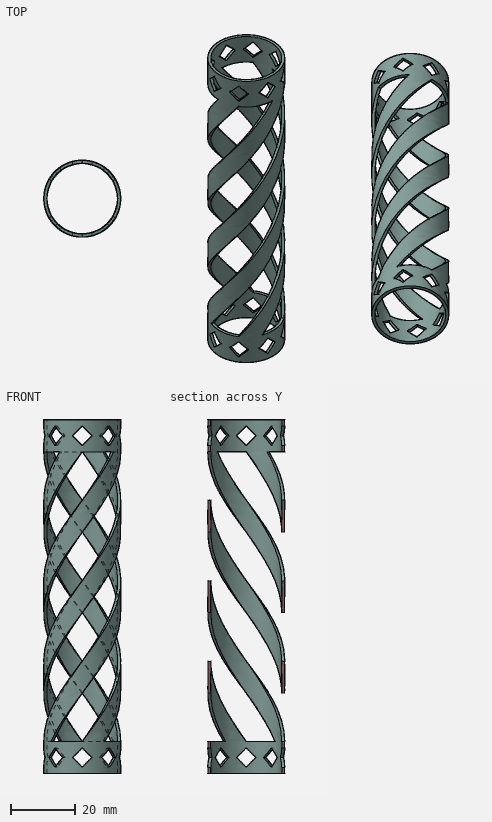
import cadquery as cq
import math

length = 110.0
outer_diameter = 24.0
inner_diameter = 22.0
band_height = 10.0
rib_count = 4
rib_angle = 36.0
window_count = 8
window_diagonal = 5.9

outer_radius = outer_diameter / 2
inner_radius = inner_diameter / 2
cage_height = length - 2 * band_height
twist_angle = 360.0 - rib_angle
rib_overlap = 0.5
front_angle = -90.0


def polar(radius, angle):
    radians = math.radians(angle)
    return (radius * math.cos(radians), radius * math.sin(radians))


def end_band(base_z):
    """Plain ring with a row of diamond windows around its middle."""
    band = (
        cq.Workplane("XY", origin=(0, 0, base_z))
        .circle(outer_radius)
        .circle(inner_radius)
        .extrude(band_height)
    )
    cutter = (
        cq.Workplane("XZ", origin=(0, 0, base_z + band_height / 2))
        .polygon(4, window_diagonal)
        .extrude(outer_diameter, both=True)
    )
    for index in range(window_count // 2):
        angle = index * 360.0 / window_count
        band = band.cut(cutter.rotate((0, 0, 0), (0, 0, 1), angle))
    return band


def helical_rib(end_angle):
    """Ring sector twisted counterclockwise upward; end_angle is its leading edge at the upper band."""
    overlap_twist = twist_angle * rib_overlap / cage_height
    first = end_angle - rib_angle - twist_angle - overlap_twist
    last = first + rib_angle
    middle = (first + last) / 2
    return (
        cq.Workplane("XY", origin=(0, 0, band_height - rib_overlap))
        .moveTo(*polar(inner_radius, first))
        .lineTo(*polar(outer_radius, first))
        .threePointArc(polar(outer_radius, middle), polar(outer_radius, last))
        .lineTo(*polar(inner_radius, last))
        .threePointArc(polar(inner_radius, middle), polar(inner_radius, first))
        .close()
        .twistExtrude(cage_height + 2 * rib_overlap, twist_angle + 2 * overlap_twist)
    )


result = end_band(0).union(end_band(length - band_height))
for rib_index in range(rib_count):
    result = result.union(helical_rib(front_angle + rib_index * 360.0 / rib_count))